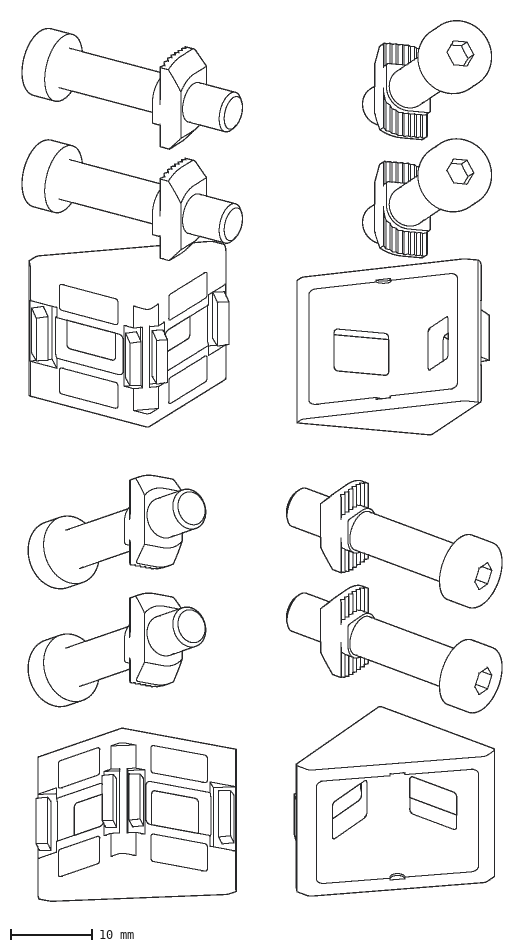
import cadquery as cq
import math

SIZE = 18.0
MID_Z = SIZE / 2
HYPOTENUSE_OFFSET = 2.5
END_CHAMFER = 0.65
HYPOTENUSE_RADIUS = 1.0
OUTER_RADIUS = 0.55

LEG_WALL = 3.15
GUSSET_MOUTH = 1.7
GUSSET_ROOT = 1.95
POCKET_CORNER_RADIUS = 0.9
POCKET_FLOOR_RADIUS = 0.7
DIMPLE_RADIUS = 0.95
DIMPLE_DEPTH = 0.25

SLOT_START = 4.0
SLOT_RAMP_START = 14.25
SLOT_MOUTH_HEIGHT = 5.45
SLOT_INNER_HEIGHT = 5.25
SLOT_RADIUS = 0.5

RELIEF_START = 4.95
RELIEF_END = 13.5
RELIEF_DEPTH = 1.7
RELIEF_HEIGHT = 3.5
RELIEF_RADIUS = 0.3
RELIEF_SPACING = 11.25

CORNER_CUT = 2.2
CORNER_CUT_HEIGHT = 14.05

RECESS_HEIGHT = 8.15
END_RECESS_START = 0.55
END_RECESS_END = 4.55
CORNER_RECESS_START = 14.45
CORNER_RECESS_END = 17.35
TAB_REACH = 1.8
TAB_ROOT_HEIGHT = 6.0
TAB_TIP_HEIGHT = 5.7
END_TAB_START = 0.9
END_TAB_WIDTH = 2.1
CORNER_TAB_START = 14.7
CORNER_TAB_WIDTH = 1.95

TOTAL_HEIGHT = 49.75
NUT_LENGTH = 11.55
HALF_NUT = NUT_LENGTH / 2
AXIS_Y = 3.0
UPPER_AXIS_Z = TOTAL_HEIGHT - HALF_NUT
AXIS_SPACING = 14.95
SET_COUNT = 2

SCREW_LENGTH = 28.5
SHANK_RADIUS = 5.0 / 2
SHANK_CHAMFER = 0.45
HEAD_RADIUS = 8.5 / 2
HEAD_LENGTH = 3.6
HEAD_EDGE_RADIUS = 0.5
NECK_RADIUS = 0.15
HEX_FLATS = 3.05
HEX_DEPTH = 2.0
HEX_CONE_DEPTH = 1.0

HALF_NUT_WIDTH = 2.9
COLLAR_X = 18.5
PLATE_X = 19.6
NUT_END_X = 22.7
TIP_THICKNESS = 1.25
TIP_SLOPE_HEIGHT = 2.0
NUT_EDGE_RADIUS = 0.3
SERRATION_PITCH = 0.8
SERRATION_DEPTH = SERRATION_PITCH / 2

OVERSHOOT = 0.5


def diagonal_point(total, difference):
    """Point in plan given by x + y and x - y."""
    return ((total + difference) / 2, (total - difference) / 2)


def plan_prism(points, height, centre_z=MID_Z):
    """Prism with a plan outline, centred on a height."""
    plane = cq.Workplane("XY", origin=(0, 0, centre_z))
    return plane.polyline(points).close().extrude(height / 2, both=True)


def side_prism(points):
    """Prism with a (y, height from mid-height) outline, long enough to cover the bracket in X."""
    return (
        cq.Workplane("YZ", origin=(SIZE / 2, 0, MID_Z))
        .polyline(points).close().extrude(SIZE, both=True)
    )


def tapered(solid, y_outer, height_outer, y_inner, height_inner):
    """Trim a solid between two planes so that its height changes along Y."""
    half_outer = height_outer / 2
    half_inner = height_inner / 2
    wedge = side_prism([
        (y_outer, half_outer), (y_inner, half_inner), (y_inner, -half_inner), (y_outer, -half_outer),
    ])
    return solid.intersect(wedge)


def on_both_legs(shape):
    """A shape on the front leg together with its twin on the side leg."""
    twin = shape.mirror(cq.Vector(1, 1, 0), (SIZE, 0, 0))
    return [shape, twin]


def bracket_blank():
    """Right-angled prism with its square corner at +X, -Y."""
    far = SIZE - HYPOTENUSE_OFFSET
    outline = [
        (END_CHAMFER, 0), (SIZE, 0), (SIZE, SIZE - END_CHAMFER), (SIZE - END_CHAMFER, SIZE),
        (far, SIZE), (0, HYPOTENUSE_OFFSET), (0, END_CHAMFER),
    ]
    blank = plan_prism(outline, SIZE)
    for corner in [(0, HYPOTENUSE_OFFSET, MID_Z), (far, SIZE, MID_Z)]:
        nearest = cq.selectors.NearestToPointSelector(corner)
        blank = blank.edges("|Z").edges(nearest).fillet(HYPOTENUSE_RADIUS)
    outer_edges = blank.faces("<Y").edges("|X or >X").add(blank.faces(">X").edges("|Y"))
    return outer_edges.fillet(OUTER_RADIUS)


def gusset_pocket():
    """Triangular pocket open on the sloping side, between two tapered gussets."""
    inner_x = SIZE - LEG_WALL
    mouth = HYPOTENUSE_OFFSET + 2 * OVERSHOOT
    outline = [(LEG_WALL - mouth, LEG_WALL), (inner_x, LEG_WALL), (inner_x, inner_x + mouth)]
    half_mouth = SIZE / 2 - GUSSET_MOUTH
    half_root = SIZE / 2 - GUSSET_ROOT
    depth = (inner_x - LEG_WALL + HYPOTENUSE_OFFSET) / math.sqrt(2)
    slope = (half_mouth - half_root) / depth
    outside = OVERSHOOT * math.sqrt(2)
    half_outside = half_mouth + slope * outside
    middle = SIZE / 2
    along_depth = cq.Plane(
        origin=(middle - HYPOTENUSE_OFFSET / 2, middle + HYPOTENUSE_OFFSET / 2, MID_Z),
        xDir=(1, -1, 0), normal=(-1, -1, 0),
    )
    wedge = (
        cq.Workplane(along_depth)
        .polyline([
            (-outside, half_outside), (depth, half_root), (depth, -half_root), (-outside, -half_outside),
        ])
        .close().extrude(SIZE, both=True)
    )
    pocket = plan_prism(outline, SIZE).intersect(wedge)
    inner_corner = cq.selectors.NearestToPointSelector((inner_x, LEG_WALL, MID_Z))
    pocket = pocket.edges("|Z").edges(inner_corner).fillet(POCKET_CORNER_RADIUS)
    return pocket.faces(">X").edges("not |Z").fillet(POCKET_FLOOR_RADIUS)


def gusset_dimples():
    """Half-round dimples at the middle of the sloping side, one in each gusset."""
    middle = SIZE / 2
    height = SIZE - 2 * (GUSSET_MOUTH - DIMPLE_DEPTH)
    return (
        cq.Workplane("XY", origin=(middle - HYPOTENUSE_OFFSET / 2, middle + HYPOTENUSE_OFFSET / 2, MID_Z))
        .circle(DIMPLE_RADIUS).extrude(height / 2, both=True)
    )


def screw_slot():
    """Rounded slot through the leg, with a 45 degree ramp towards the corner."""
    slot_end = SLOT_RAMP_START - LEG_WALL
    outline = [
        (SLOT_START, -OVERSHOOT), (SLOT_RAMP_START + OVERSHOOT, -OVERSHOOT), (slot_end, LEG_WALL),
        (slot_end, LEG_WALL + OVERSHOOT), (SLOT_START, LEG_WALL + OVERSHOOT),
    ]
    slot = plan_prism(outline, SIZE)
    slot = tapered(slot, -OVERSHOOT, SLOT_MOUTH_HEIGHT, LEG_WALL + OVERSHOOT, SLOT_INNER_HEIGHT)
    lengthwise_edges = slot.edges("(not |Z) and (not <Y) and (not >Y)")
    return lengthwise_edges.fillet(SLOT_RADIUS)


def relief_pocket(centre_z):
    """Shallow pocket with 45 degree ends."""
    outline = [
        (RELIEF_START, 0), (RELIEF_END, 0),
        (RELIEF_END - RELIEF_DEPTH, RELIEF_DEPTH), (RELIEF_START + RELIEF_DEPTH, RELIEF_DEPTH),
    ]
    pocket = plan_prism(outline, RELIEF_HEIGHT, centre_z)
    return pocket.edges(">Y or (not (<Y or >Y))").fillet(RELIEF_RADIUS)


def v_recess(start, end):
    """Right-angled V groove across the middle of the leg."""
    outline = [
        diagonal_point(start, start), diagonal_point(end, start), diagonal_point(end, end),
        diagonal_point(end, end + 2 * OVERSHOOT), diagonal_point(start - 2 * OVERSHOOT, start),
    ]
    return plan_prism(outline, RECESS_HEIGHT)


def tab(start, width, recess_start):
    """Tab standing at 45 degrees on the far flank of its recess."""
    tip = start + 2 * TAB_REACH
    outline = [
        diagonal_point(start, recess_start), diagonal_point(start, tip),
        diagonal_point(start + width, tip), diagonal_point(start + width, recess_start),
    ]
    taper = (TAB_ROOT_HEIGHT - TAB_TIP_HEIGHT) / TAB_REACH
    inner_height = TAB_ROOT_HEIGHT + taper * LEG_WALL
    return tapered(plan_prism(outline, SIZE), -TAB_REACH, TAB_TIP_HEIGHT, LEG_WALL, inner_height)


def corner_cut():
    """Triangular cut across the outer corner, leaving the two gusset ends."""
    outline = [(SIZE - CORNER_CUT, 0), (SIZE, 0), (SIZE, CORNER_CUT)]
    return plan_prism(outline, CORNER_CUT_HEIGHT)


def make_bracket():
    cutters = [
        screw_slot(),
        relief_pocket(MID_Z - RELIEF_SPACING / 2),
        relief_pocket(MID_Z + RELIEF_SPACING / 2),
        v_recess(END_RECESS_START, END_RECESS_END),
        v_recess(CORNER_RECESS_START, CORNER_RECESS_END),
    ]
    tabs = [
        tab(END_TAB_START, END_TAB_WIDTH, END_RECESS_START),
        tab(CORNER_TAB_START, CORNER_TAB_WIDTH, CORNER_RECESS_START),
    ]
    body = bracket_blank().cut(gusset_pocket()).cut(gusset_dimples()).cut(corner_cut())
    for cutter in cutters:
        for shape in on_both_legs(cutter):
            body = body.cut(shape)
    for one_tab in tabs:
        for shape in on_both_legs(one_tab):
            body = body.union(shape)
    return body


def hex_socket():
    """Hexagonal socket with a conical bottom."""
    corner_radius = HEX_FLATS / math.sqrt(3)
    prism = cq.Workplane("YZ").polygon(6, 2 * corner_radius).extrude(HEX_DEPTH + HEX_CONE_DEPTH)
    pointed_bar = (
        cq.Workplane("XY")
        .polyline([(0, 0), (0, corner_radius), (HEX_DEPTH, corner_radius), (HEX_DEPTH + HEX_CONE_DEPTH, 0)])
        .close().revolve(360, (0, 0, 0), (1, 0, 0))
    )
    return prism.intersect(pointed_bar)


def make_screw(axis_z):
    """Cap screw along X, with its head at X = 0."""
    head = cq.Workplane("YZ").circle(HEAD_RADIUS).extrude(HEAD_LENGTH)
    head = head.faces("<X").edges().fillet(HEAD_EDGE_RADIUS)
    shank = cq.Workplane("YZ").circle(SHANK_RADIUS).extrude(SCREW_LENGTH)
    shank = shank.faces(">X").edges().chamfer(SHANK_CHAMFER)
    screw = head.union(shank)
    neck = cq.selectors.RadiusNthSelector(0)
    head_underside = screw.faces(cq.selectors.NearestToPointSelector((HEAD_LENGTH, 0, 0)))
    screw = head_underside.edges(neck).fillet(NECK_RADIUS)
    return screw.cut(hex_socket()).translate((0, AXIS_Y, axis_z))


def rotating_half(profile):
    """Upper half of a twist-in shape: square towards +Y, turned round the axis towards -Y.

    The profile lists (x, height above the axis).
    """
    square = cq.Workplane("XZ").polyline(profile).close().extrude(-HALF_NUT_WIDTH)
    square = square.edges("|X and >Y and >Z").fillet(NUT_EDGE_RADIUS)
    turned = cq.Workplane("XZ").polyline(profile).close().revolve(360, (0, 0, 0), (1, 0, 0))
    quadrant = (
        cq.Workplane("XY", origin=(COLLAR_X, -HALF_NUT_WIDTH, 0))
        .box(NUT_END_X - COLLAR_X, HALF_NUT_WIDTH, HALF_NUT, centered=False)
    )
    return square.union(turned.intersect(quadrant))


def twist_in(profile):
    """Whole twist-in shape: two halves, half a turn apart."""
    half = rotating_half(profile)
    return half.union(half.rotate((0, 0, 0), (1, 0, 0), 180))


def serrations():
    """V grooves along Z across the plate face."""
    half_pitch = SERRATION_PITCH / 2
    side_count = math.floor(HALF_NUT_WIDTH / SERRATION_PITCH)
    groove = (
        cq.Workplane("XY")
        .polyline([(PLATE_X, -half_pitch), (PLATE_X + SERRATION_DEPTH, 0), (PLATE_X, half_pitch)])
        .close().extrude(HALF_NUT, both=True)
    )
    steps = range(-side_count, side_count + 1)
    return [groove.translate((0, step * SERRATION_PITCH, 0)) for step in steps]


def make_nut(axis_z):
    """Hammer-head nut on the screw."""
    plate = twist_in([
        (PLATE_X, 0), (PLATE_X, HALF_NUT), (PLATE_X + TIP_THICKNESS, HALF_NUT),
        (NUT_END_X, HALF_NUT - TIP_SLOPE_HEIGHT), (NUT_END_X, 0),
    ])
    for groove in serrations():
        plate = plate.cut(groove)
    collar_end = PLATE_X + SERRATION_DEPTH
    collar = twist_in([
        (COLLAR_X, 0), (COLLAR_X, HALF_NUT_WIDTH), (collar_end, HALF_NUT_WIDTH), (collar_end, 0),
    ])
    bore = cq.Workplane("YZ").circle(SHANK_RADIUS).extrude(SCREW_LENGTH)
    return plate.union(collar).cut(bore).translate((0, AXIS_Y, axis_z))


bracket = make_bracket()
axis_heights = [UPPER_AXIS_Z - i * AXIS_SPACING for i in range(SET_COUNT)]
screws = [make_screw(z) for z in axis_heights]
nuts = [make_nut(z) for z in axis_heights]

result = cq.Compound.makeCompound([bracket.val(), *[s.val() for s in screws], *[n.val() for n in nuts]])